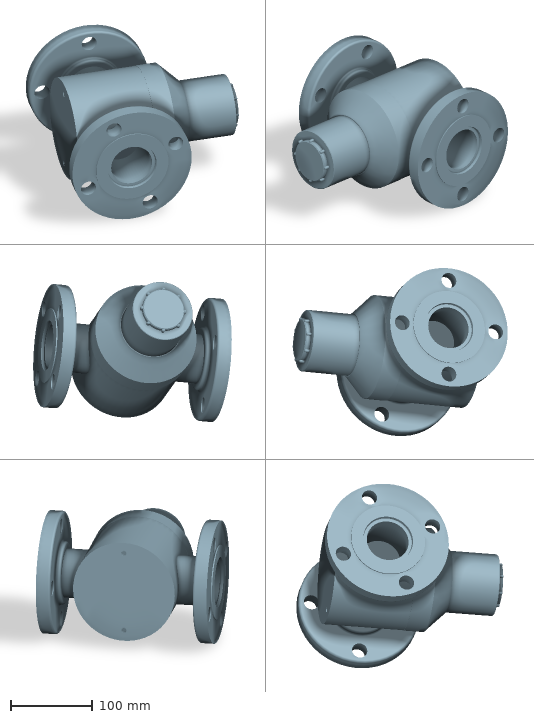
import cadquery as cq
import math

OVERALL_WIDTH = 216.0
OVERALL_LENGTH = 234.5

FLANGE_DIA = 152.0
RAISED_FACE_DIA = 92.2
RAISED_FACE_HEIGHT = 1.5
FLANGE_THICKNESS = 17.5
FLANGE_EDGE_FILLET = 2.8
HUB_DIA = 78.0
HUB_LENGTH = 6.0
HUB_ROOT_FILLET = 2.0
HUB_END_FILLET = 2.5
BOLT_HOLE_DIA = 19.0
BOLT_CIRCLE_RADIUS = 60.3
BOLT_HOLES = 4
BOLT_HOLE_TURN = {-1: 0.0, 1: 22.5}
SOCKET_MOUTH_DIA = 62.0

PIPE_DIA = 60.5
PIPE_BORE = 52.0
PIPE_END_RECESS = 3.5
PIPE_INNER_END = 47.0

HOUSING_DIA = 127.0
HOUSING_FRONT = -57.2
STEPPED_HOLE_DIA = 5.2
STEPPED_HOLE_DEPTH = 2.0
STEP_DIA = 7.3
STEP_DEPTH = 1.0
STEPPED_HOLE_OFFSET = 50.0

BONNET_DIA = 128.0
BONNET_FRONT = 42.7
CONE_START = 68.0
CONE_TOP_DIA = 78.0
NECK_DIA = 76.0
NECK_END = 152.5
NECK_EDGE_CHAMFER = 0.7

CAP_DIA = 52.5
CAP_EDGE_CHAMFER = 1.2
RIB_DIA = 4.0
RIB_CIRCLE_RADIUS = 27.0
RIBS = 8

FACE_X = OVERALL_WIDTH / 2
FLANGE_FRONT_X = FACE_X - RAISED_FACE_HEIGHT
PIPE_END_X = FACE_X - PIPE_END_RECESS
CAP_END = OVERALL_LENGTH - FLANGE_DIA / 2
CONE_LENGTH = (BONNET_DIA - CONE_TOP_DIA) / 2
SIDES = (-1, 1)


def x_cylinder(side, dia, start, end):
    """Cylinder on the flow axis, between two distances from the centre."""
    workplane = cq.Workplane("YZ").workplane(offset=side * start)
    return workplane.circle(dia / 2).extrude(side * (end - start))


def y_cylinder(dia, start, end, x=0.0, z=0.0):
    """Cylinder parallel to the valve axis, from y = start to y = end."""
    axis_start = cq.Vector(x, start, z)
    return cq.Workplane(cq.Solid.makeCylinder(dia / 2, end - start, axis_start, cq.Vector(0, 1, 0)))


def revolved_flange_blank():
    """Flange, hub and raised face on the +X side, with the tapered socket mouth for the pipe."""
    back = FLANGE_FRONT_X - FLANGE_THICKNESS
    hub_end = back - HUB_LENGTH
    flange_r = FLANGE_DIA / 2
    hub_r = HUB_DIA / 2
    bore_r = PIPE_DIA / 2
    mouth_r = SOCKET_MOUTH_DIA / 2
    arc_mid = 1 - math.cos(math.pi / 4)
    profile = (
        cq.Workplane("XY")
        .moveTo(hub_end, bore_r)
        .lineTo(hub_end, hub_r - HUB_END_FILLET)
        .threePointArc(
            (hub_end + HUB_END_FILLET * arc_mid, hub_r - HUB_END_FILLET * arc_mid),
            (hub_end + HUB_END_FILLET, hub_r),
        )
        .lineTo(back - HUB_ROOT_FILLET, hub_r)
        .threePointArc(
            (back - HUB_ROOT_FILLET * arc_mid, hub_r + HUB_ROOT_FILLET * arc_mid),
            (back, hub_r + HUB_ROOT_FILLET),
        )
        .lineTo(back, flange_r - FLANGE_EDGE_FILLET)
        .threePointArc(
            (back + FLANGE_EDGE_FILLET * arc_mid, flange_r - FLANGE_EDGE_FILLET * arc_mid),
            (back + FLANGE_EDGE_FILLET, flange_r),
        )
        .lineTo(FLANGE_FRONT_X, flange_r)
        .lineTo(FLANGE_FRONT_X, RAISED_FACE_DIA / 2)
        .lineTo(FACE_X, RAISED_FACE_DIA / 2)
        .lineTo(FACE_X, mouth_r)
        .lineTo(PIPE_END_X, bore_r)
        .close()
    )
    return profile.revolve(360, (0, 0, 0), (1, 0, 0))


def make_flange(side):
    flange = revolved_flange_blank()
    bolt_holes = (
        cq.Workplane("YZ")
        .polarArray(BOLT_CIRCLE_RADIUS, BOLT_HOLE_TURN[side], 360, BOLT_HOLES)
        .circle(BOLT_HOLE_DIA / 2)
        .extrude(FACE_X)
    )
    flange = flange.cut(bolt_holes)
    if side < 0:
        flange = flange.mirror("YZ")
    return flange


def make_pipe(side):
    outside = x_cylinder(side, PIPE_DIA, PIPE_INNER_END, PIPE_END_X)
    bore = x_cylinder(side, PIPE_BORE, PIPE_INNER_END, PIPE_END_X)
    return outside.cut(bore)


def make_stepped_hole(z):
    """Shallow blind hole in the housing front: a wide step, then a narrower bottom."""
    step = y_cylinder(STEP_DIA, HOUSING_FRONT, HOUSING_FRONT + STEP_DEPTH, z=z)
    bottom = y_cylinder(STEPPED_HOLE_DIA, HOUSING_FRONT, HOUSING_FRONT + STEPPED_HOLE_DEPTH, z=z)
    return step.union(bottom)


def make_housing():
    housing = y_cylinder(HOUSING_DIA, HOUSING_FRONT, BONNET_FRONT)
    for side in SIDES:
        housing = housing.cut(x_cylinder(side, PIPE_DIA, PIPE_INNER_END, PIPE_END_X))
        housing = housing.cut(make_stepped_hole(side * STEPPED_HOLE_OFFSET))
    return housing


def make_bonnet():
    cone_end = CONE_START + CONE_LENGTH
    profile = (
        cq.Workplane("XY")
        .moveTo(0, BONNET_FRONT)
        .lineTo(BONNET_DIA / 2, BONNET_FRONT)
        .lineTo(BONNET_DIA / 2, CONE_START)
        .lineTo(CONE_TOP_DIA / 2, cone_end)
        .lineTo(NECK_DIA / 2, cone_end)
        .lineTo(NECK_DIA / 2, NECK_END - NECK_EDGE_CHAMFER)
        .lineTo(NECK_DIA / 2 - NECK_EDGE_CHAMFER, NECK_END)
        .lineTo(0, NECK_END)
        .close()
    )
    return profile.revolve(360, (0, 0, 0), (0, 1, 0))


def chamfered_post(dia, x=0.0, z=0.0):
    """Cylinder standing on the neck, with its free end chamfered."""
    post = y_cylinder(dia, NECK_END, CAP_END, x, z)
    return post.faces(">Y").edges().chamfer(CAP_EDGE_CHAMFER)


def make_cap():
    cap = chamfered_post(CAP_DIA)
    for index in range(RIBS):
        angle = math.radians(index * 360 / RIBS)
        x = RIB_CIRCLE_RADIUS * math.cos(angle)
        z = RIB_CIRCLE_RADIUS * math.sin(angle)
        cap = cap.union(chamfered_post(RIB_DIA, x, z))
    return cap


housing = make_housing()
bonnet = make_bonnet()
cap = make_cap()
pipes = [make_pipe(side).val() for side in SIDES]
flanges = [make_flange(side).val() for side in SIDES]

result = cq.Compound.makeCompound([housing.val(), bonnet.val(), cap.val(), *pipes, *flanges])